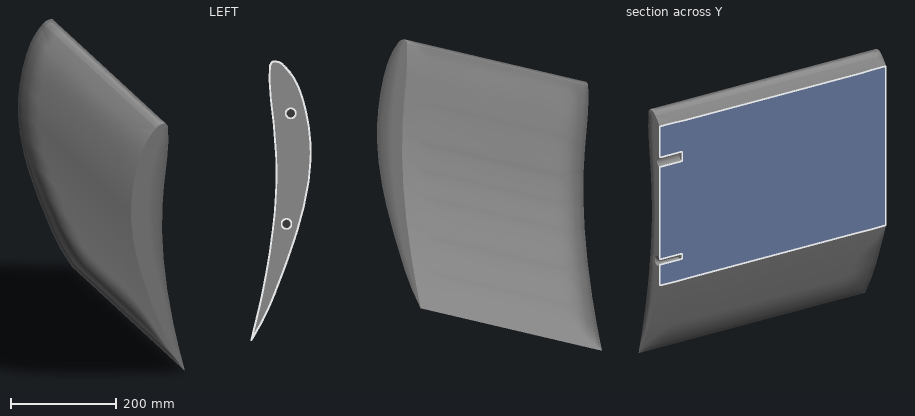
import cadquery as cq

span = 508.0
chord_height = 531.42
section_depth = 113.56

trailing_edge = (section_depth, 0.0)
nose_top = (70.0, chord_height)
nose_front = (53.0, 525.0)
nose_back = (77.8, 524.0)
toward_back = (1.0, 0.0)

convex_points = [
    (80.0, 62.5),
    (53.0, 130.0),
    (13.5, 254.0),
    (0.0, 358.0),
    (14.5, 457.0),
    (33.5, 502.0),
    nose_front,
]

concave_points = [
    (78.8, 505.0),
    (71.0, 415.0),
    (65.4, 338.0),
    (69.8, 232.0),
    (80.3, 153.0),
    (94.3, 80.0),
    trailing_edge,
]

hole_diameter = 19.05
hole_depth = 50.8
hole_centers = [(38.2, 432.5), (46.3, 222.0)]


def make_blade():
    """Extrude the cambered blade section along the span."""
    return (
        cq.Workplane("YZ")
        .moveTo(*trailing_edge)
        .spline(convex_points, includeCurrent=True)
        .spline([nose_top, nose_back], tangents=[None, toward_back, None], includeCurrent=True)
        .spline(concave_points, includeCurrent=True)
        .close()
        .extrude(span)
    )


def make_mounting_holes():
    """Cylinders that drill the mounting holes into the end face."""
    return (
        cq.Workplane("YZ")
        .pushPoints(hole_centers)
        .circle(hole_diameter / 2)
        .extrude(hole_depth)
    )


result = make_blade().cut(make_mounting_holes())